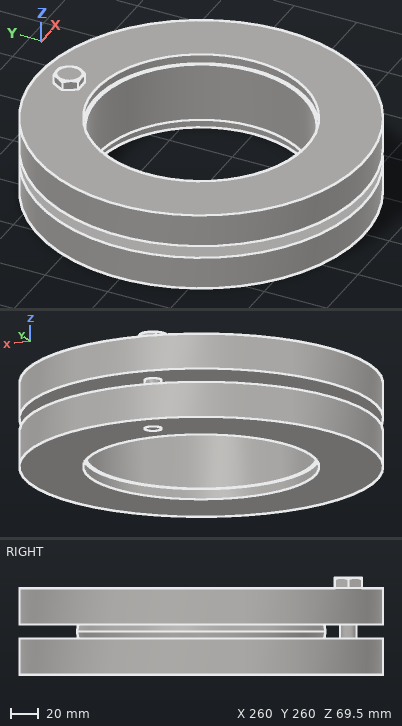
import cadquery as cq
import math

flange_diameter = 260.0
flange_thickness = 26.0
flange_bore_diameter = 168.5
flange_gap = 10.0
face_height = flange_gap / 2 + flange_thickness

ring_bore_diameter = 165.0
ring_ridge_diameter = 177.8
ring_recess = 7.5
ring_half_height = face_height - ring_recess

bolt_offset = 105.0
shank_diameter = 12.0
head_across_flats = 19.5
overall_height = 69.5
head_height = overall_height - 2 * face_height
head_crown_diameter = 19.0
head_chamfer_angle = 30.0


def make_ring_blank():
    """Solid double cone; also cuts the matching seats in the flanges."""
    end_radius = flange_bore_diameter / 2
    return (
        cq.Workplane("XZ")
        .moveTo(0, -ring_half_height)
        .lineTo(end_radius, -ring_half_height)
        .lineTo(ring_ridge_diameter / 2, 0)
        .lineTo(end_radius, ring_half_height)
        .lineTo(0, ring_half_height)
        .close()
        .revolve(360, (0, 0, 0), (0, 1, 0))
    )


def make_sealing_ring():
    bore = (
        cq.Workplane("XY", origin=(0, 0, -ring_half_height))
        .circle(ring_bore_diameter / 2)
        .extrude(2 * ring_half_height)
    )
    return make_ring_blank().cut(bore)


def make_bolt_shank():
    """Shank from the upper face to the lower face of the flange pair."""
    return (
        cq.Workplane("XY", origin=(0, bolt_offset, -face_height))
        .circle(shank_diameter / 2)
        .extrude(2 * face_height)
    )


def make_bolt_head():
    """Hexagon with flats facing +Y and -Y and its top corners turned to a cone."""
    across_corners = head_across_flats / math.cos(math.pi / 6)
    hexagon = (
        cq.Workplane("XY", origin=(0, bolt_offset, face_height))
        .polygon(6, across_corners)
        .extrude(head_height)
    )
    crown_radius = head_crown_diameter / 2
    corner_radius = across_corners / 2
    chamfer_drop = (corner_radius - crown_radius) * math.tan(math.radians(head_chamfer_angle))
    crown = (
        cq.Workplane("XZ", origin=(0, bolt_offset, face_height))
        .moveTo(0, 0)
        .lineTo(corner_radius, 0)
        .lineTo(corner_radius, head_height - chamfer_drop)
        .lineTo(crown_radius, head_height)
        .lineTo(0, head_height)
        .close()
        .revolve(360, (0, 0, 0), (0, 1, 0))
    )
    return hexagon.intersect(crown)


def make_bolt():
    return make_bolt_shank().union(make_bolt_head())


def make_flange(bottom_height):
    """Flange with a plain bore, a conical ring seat and a bolt hole."""
    disc = (
        cq.Workplane("XY", origin=(0, 0, bottom_height))
        .circle(flange_diameter / 2)
        .circle(flange_bore_diameter / 2)
        .extrude(flange_thickness)
    )
    return disc.cut(make_ring_blank()).cut(make_bolt_shank())


flanges = [make_flange(bottom_height) for bottom_height in (-face_height, flange_gap / 2)]
sealing_ring = make_sealing_ring()
bolt = make_bolt()

result = cq.Compound.makeCompound(
    [*[flange.val() for flange in flanges], sealing_ring.val(), bolt.val()]
)